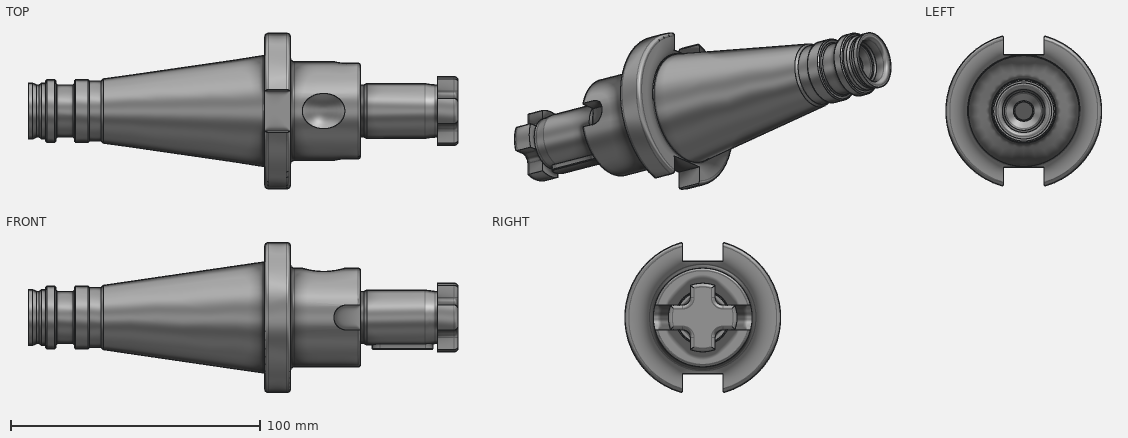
import cadquery as cq
import math


overall_length = 172.4
taper_start = 30.2
taper_end = 94.0
flange_start = 94.8
flange_end = 105.2
nose_end = 133.3
spigot_end = 164.1

ring_radius = 11.2
groove_radius = 10.5
ring_end = 1.7
small_groove_start = 3.3
small_groove_end = 4.3
second_ring_start = 5.3
collar_radius = 12.5
collar_edge = 0.5
first_collar_start = 6.9
first_collar_end = 11.0
second_collar_start = 18.5
second_collar_end = 24.5
neck_radius = 12.0
neck_end = 29.1

taper_large_radius = 22.2
taper_root_fillet = 0.3
taper_slope = 7 / 24 / 2
taper_small_radius = taper_large_radius - taper_slope * (taper_end - taper_start)

flange_radius = 31.29
flange_fillet = 1.5
flange_slot_width = 16.2
flange_slot_floor = 22.5
flange_slot_chamfer = 0.7

nose_radius = 19.8
nose_fillet = 1.0
nose_root_fillet = 1.5
driver_slot_width = 10.0
driver_slot_start = 122.5
driver_slot_floor = 11.7
dimple_radius = 11.9
dimple_x = 118.5
dimple_height = 28.1

spigot_radius = 11.0
undercut_radius = 10.5
undercut_end = 134.6
spigot_start = 135.9
spigot_lead_start = 159.1
spigot_lead_end = 163.1
spigot_lead_radius = 10.5

bore_mouth_fillet = 1.7
counterbore_radius = 8.6
counterbore_depth = 5.3
thread_major_radius = 7.8
thread_start = 6.0
thread_end = 6.7
thread_minor_radius = 7.0
thread_bottom = 7.0
drill_point_angle = 118.0

screw_radius = 4.1
screw_start = 120.7
screw_tip_chamfer = 0.5
head_radius = 13.8
head_lug_width = 10.0
head_lug_count = 4
head_corner_radius = 3.1
head_fillet = 1.5

key_width = 6.2
key_start = 138.0
key_end = 162.4
key_bottom = 12.8
key_top = 7.5
key_chamfer = 0.3


def rod(start, end, radius):
    """Round bar on the X axis."""
    return (
        cq.Workplane("XZ")
        .moveTo(start, 0)
        .lineTo(start, radius)
        .lineTo(end, radius)
        .lineTo(end, 0)
        .close()
        .revolve(360, (0, 0, 0), (1, 0, 0))
    )


def make_tail_and_taper():
    """Revolved tail with its grooves and collars, and the taper up to the flange."""
    rim_radius = collar_radius - collar_edge
    root_radius = groove_radius + collar_edge
    return (
        cq.Workplane("XZ")
        .moveTo(0, 0)
        .lineTo(0, ring_radius)
        .lineTo(ring_end, ring_radius)
        .lineTo(small_groove_start, groove_radius)
        .lineTo(small_groove_end, groove_radius)
        .lineTo(second_ring_start, ring_radius)
        .lineTo(first_collar_start, ring_radius)
        .lineTo(first_collar_start, rim_radius)
        .lineTo(first_collar_start + collar_edge, collar_radius)
        .lineTo(first_collar_end - collar_edge, collar_radius)
        .lineTo(first_collar_end, rim_radius)
        .lineTo(first_collar_end, root_radius)
        .lineTo(first_collar_end + collar_edge, groove_radius)
        .lineTo(second_collar_start - collar_edge, groove_radius)
        .lineTo(second_collar_start, root_radius)
        .lineTo(second_collar_start, rim_radius)
        .lineTo(second_collar_start + collar_edge, collar_radius)
        .lineTo(second_collar_end - collar_edge, collar_radius)
        .lineTo(second_collar_end, neck_radius)
        .lineTo(neck_end, neck_radius)
        .lineTo(taper_start, taper_small_radius)
        .lineTo(taper_end, taper_large_radius)
        .lineTo(flange_start - taper_root_fillet, taper_large_radius)
        .radiusArc((flange_start, taper_large_radius + taper_root_fillet), -taper_root_fillet)
        .lineTo(flange_start, 0)
        .close()
        .revolve(360, (0, 0, 0), (1, 0, 0))
    )


def make_flange():
    """Rounded flange with a chamfered drive slot at the top and at the bottom."""
    flange = rod(flange_start, flange_end, flange_radius).edges("%CIRCLE").fillet(flange_fillet)
    half_width = flange_slot_width / 2
    chamfer_start = math.sqrt(flange_radius**2 - half_width**2) - flange_slot_chamfer
    for side in (1, -1):
        slot = (
            cq.Workplane("YZ", origin=(flange_start, 0, 0))
            .moveTo(-half_width, side * flange_slot_floor)
            .lineTo(half_width, side * flange_slot_floor)
            .lineTo(half_width, side * chamfer_start)
            .lineTo(half_width + flange_radius - chamfer_start, side * flange_radius)
            .lineTo(-half_width - flange_radius + chamfer_start, side * flange_radius)
            .lineTo(-half_width, side * chamfer_start)
            .close()
            .extrude(flange_end - flange_start)
        )
        flange = flange.cut(slot)
    return flange


def make_nose():
    """Cylindrical nose with two driver slots and a spherical dimple on top."""
    nose = rod(flange_end, nose_end, nose_radius).faces(">X").edges().fillet(nose_fillet)
    root = (
        cq.Workplane("XZ")
        .moveTo(flange_end, 0)
        .lineTo(flange_end, nose_radius + nose_root_fillet)
        .radiusArc((flange_end + nose_root_fillet, nose_radius), -nose_root_fillet)
        .lineTo(flange_end + nose_root_fillet, 0)
        .close()
        .revolve(360, (0, 0, 0), (1, 0, 0))
    )
    nose = nose.union(root)
    slot_length = nose_end - driver_slot_start
    for side in (1, -1):
        slot = (
            cq.Workplane("XZ", origin=(0, side * driver_slot_floor, 0))
            .center(nose_end, 0)
            .slot2D(2 * slot_length, driver_slot_width)
            .extrude(-side * nose_radius)
        )
        nose = nose.cut(slot)
    dimple = cq.Workplane("XY", origin=(dimple_x, 0, dimple_height)).sphere(dimple_radius)
    return nose.cut(dimple)


def make_spigot():
    """Spigot with an undercut at the nose and a slender lead at its end."""
    return (
        cq.Workplane("XZ")
        .moveTo(nose_end, 0)
        .lineTo(nose_end, undercut_radius)
        .lineTo(undercut_end, undercut_radius)
        .lineTo(spigot_start, spigot_radius)
        .lineTo(spigot_lead_start, spigot_radius)
        .lineTo(spigot_lead_end, spigot_lead_radius)
        .lineTo(spigot_end, spigot_lead_radius)
        .lineTo(spigot_end, 0)
        .close()
        .revolve(360, (0, 0, 0), (1, 0, 0))
    )


def make_bore():
    """Space of the drawbar hole, from its rounded mouth to the through hole for the screw."""
    cone_slope = math.tan(math.radians(drill_point_angle / 2))
    cone_end = thread_bottom + (thread_minor_radius - screw_radius) / cone_slope
    return (
        cq.Workplane("XZ")
        .moveTo(0, 0)
        .lineTo(0, counterbore_radius + bore_mouth_fillet)
        .radiusArc((bore_mouth_fillet, counterbore_radius), -bore_mouth_fillet)
        .lineTo(counterbore_depth, counterbore_radius)
        .lineTo(thread_start, thread_major_radius)
        .lineTo(thread_end, thread_major_radius)
        .lineTo(thread_bottom, thread_minor_radius)
        .lineTo(cone_end, screw_radius)
        .lineTo(spigot_end, screw_radius)
        .lineTo(spigot_end, 0)
        .close()
        .revolve(360, (0, 0, 0), (1, 0, 0))
    )


def make_key():
    """Round-ended key standing out of the underside of the spigot."""
    return (
        cq.Workplane("XY", origin=((key_start + key_end) / 2, 0, -key_bottom))
        .slot2D(key_end - key_start, key_width)
        .extrude(key_bottom - key_top)
        .faces("<Z")
        .edges()
        .chamfer(key_chamfer)
    )


def make_screw():
    """Clamping screw: chamfered shank and a rounded head with four lugs."""
    head_length = overall_length - spigot_end
    lugs = cq.Workplane("YZ", origin=(spigot_end, 0, 0)).rect(head_lug_width, head_lug_width)
    lugs = lugs.extrude(head_length)
    for index in range(head_lug_count):
        lug = (
            cq.Workplane("YZ", origin=(spigot_end, 0, 0))
            .center(head_radius / 2, 0)
            .rect(head_radius, head_lug_width)
            .extrude(head_length)
            .rotate((0, 0, 0), (1, 0, 0), index * 360 / head_lug_count)
        )
        lugs = lugs.union(lug)
    corner = head_lug_width / 2 + 0.2
    lugs = lugs.edges("|X").edges(cq.selectors.BoxSelector(
        (0, -corner, -corner), (2 * overall_length, corner, corner))).fillet(head_corner_radius)
    blank = rod(spigot_end, overall_length, head_radius)
    shank = rod(screw_start, spigot_end, screw_radius)
    shank = shank.faces("<X").edges().chamfer(screw_tip_chamfer)
    head = blank.intersect(lugs).faces(">X").edges().fillet(head_fillet)
    return head.union(shank)


key = make_key()
screw = make_screw()
arbor = make_tail_and_taper().union(make_flange()).union(make_nose()).union(make_spigot())
arbor = arbor.cut(make_bore()).cut(key)

result = cq.Compound.makeCompound([arbor.val(), key.val(), screw.val()])